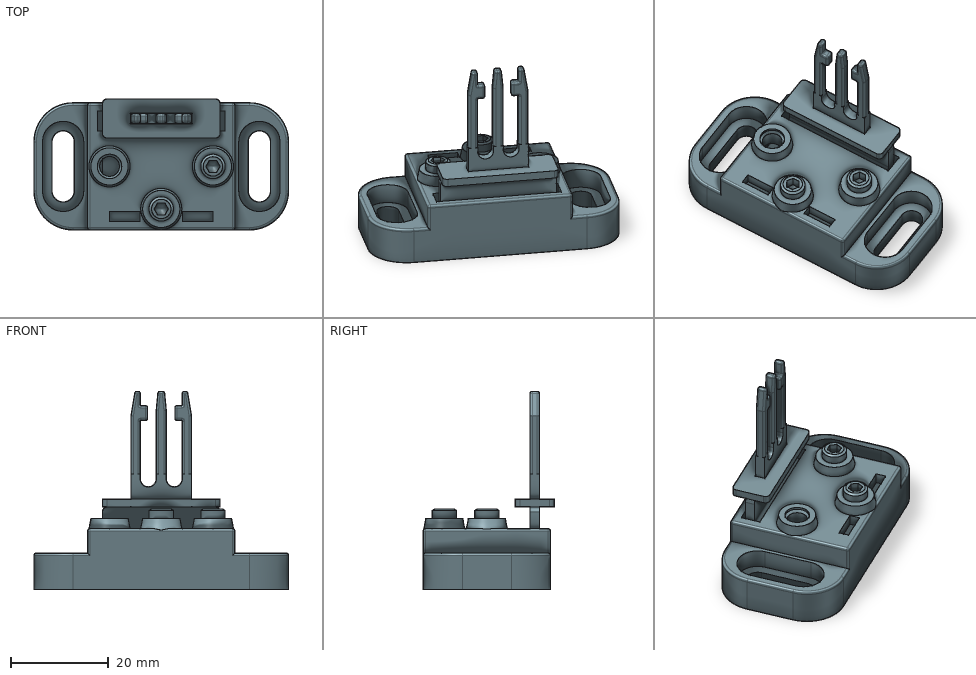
import cadquery as cq
import math

LENGTH = 52.0
WIDTH = 26.0
CORNER_RADIUS = 8.0
FLANGE_HEIGHT = 7.5
BLOCK_LENGTH = 30.05
BLOCK_HEIGHT = 12.5
HOUSING_EDGE_RADIUS = 0.5

MOUNT_X = 20.0
MOUNT_TRAVEL = 10.0
MOUNT_WIDTH = 4.5
MOUNT_BORE_WIDTH = 8.4
MOUNT_BORE_DEPTH = 4.0

KEY_THICKNESS = 2.0
KEY_Y = 9.8
KEY_FRONT = KEY_Y - KEY_THICKNESS / 2
KEY_BACK = KEY_Y + KEY_THICKNESS / 2
KEY_TOP = 40.5
FOOT_WIDTH = 24.0
FOOT_TOP = 10.25
FOOT_BOTTOM = FOOT_TOP - KEY_THICKNESS
BEND_RADIUS = 1.0
SHOULDER_Z = 16.9
SHOULDER_RADIUS = 1.0

BLADE_HALF_WIDTH = 6.2
PRONG_INNER_X = 4.25
OUTER_TIP_X = 5.35
OUTER_TAPER_Z = 35.5
CENTRE_HALF_WIDTH = 1.05
CENTRE_TIP_HALF_WIDTH = 0.7
CENTRE_TAPER_Z = 36.65
HOOK_TIP_X = 2.75
HOOK_BOTTOM = 34.55
HOOK_TOP = 37.6
GAP_BOTTOM = 21.0
PRONG_ROUNDING_Z = 23.65
PRONG_EDGE_RADIUS = 0.495
HOOK_CORNER_RADIUS = 0.15

PLATE_WIDTH = 8.0
PLATE_THICKNESS = 1.6
PLATE_CORNER_RADIUS = 1.0
PLATE_CLEARANCE = 0.1

POCKET_LENGTH = 25.95
POCKET_FRONT = 7.25
POCKET_BACK = 11.3
CAVITY_FRONT = -11.25
OPENING_INNER_X = 4.35
OPENING_OUTER_X = 10.55
OPENING_WIDTH = 2.1

BOSS_X = 10.55
BOSS_Y = 0.0
FRONT_BOSS_Y = -8.7
BOSS_TOP = 14.55
BOSS_TOP_RADIUS = 3.8
BOSS_TAPER_ANGLE = 11.0
EMPTY_BOSS = (-BOSS_X, BOSS_Y)
SCREW_BOSSES = [(BOSS_X, BOSS_Y), (0, FRONT_BOSS_Y)]

SCREW_RADIUS = 2.5
SCREW_CORE_RADIUS = 2.05
SCREW_STEP_HEIGHT = 0.5
SCREW_TIP_INSET = 0.5
SCREW_TIP_HEIGHT = 0.3
SCREW_TOP = 16.5
SCREW_ENTRY_DEPTH = 0.45
SOCKET_FLATS = 2.5
SOCKET_CORNERS = SOCKET_FLATS / math.cos(math.pi / 6)
SOCKET_DEPTH = 2.1
SOCKET_POINT_HEIGHT = 0.75


def box(x_min, x_max, y_min, y_max, z_min, z_max):
    size = (x_max - x_min, y_max - y_min, z_max - z_min)
    return cq.Workplane("XY").box(*size, centered=False).translate((x_min, y_min, z_min))


def revolved(points):
    """Turn an outline of (radius, height) points around the Z axis."""
    return cq.Workplane("XZ").polyline(points).close().revolve(360, (0, 0, 0), (0, 1, 0))


def housing_shell():
    flange = cq.Workplane("XY").rect(LENGTH, WIDTH).extrude(FLANGE_HEIGHT)
    flange = flange.edges("|Z").fillet(CORNER_RADIUS)
    block = cq.Workplane("XY").rect(BLOCK_LENGTH, WIDTH).extrude(BLOCK_HEIGHT)
    shell = flange.union(block).clean()

    reach = HOUSING_EDGE_RADIUS
    inner_corners = cq.selectors.BoxSelector(
        (-BLOCK_LENGTH / 2 - reach, -reach, FLANGE_HEIGHT - reach),
        (BLOCK_LENGTH / 2 + reach, reach, FLANGE_HEIGHT + reach),
    )
    upper_edges = cq.selectors.BoxSelector(
        (-LENGTH, -WIDTH, FLANGE_HEIGHT - reach), (LENGTH, WIDTH, BLOCK_HEIGHT + reach)
    )
    return shell.edges(upper_edges - inner_corners).fillet(HOUSING_EDGE_RADIUS)


def mounting_hole(x):
    def slot(width, bottom):
        plane = cq.Workplane("XY", origin=(x, 0, bottom))
        return plane.slot2D(MOUNT_TRAVEL + width, width, 90).extrude(FLANGE_HEIGHT)

    return slot(MOUNT_WIDTH, 0).union(slot(MOUNT_BORE_WIDTH, FLANGE_HEIGHT - MOUNT_BORE_DEPTH))


def boss():
    bottom = BLOCK_HEIGHT - HOUSING_EDGE_RADIUS
    spread = (BOSS_TOP - bottom) * math.tan(math.radians(BOSS_TAPER_ANGLE))
    return revolved([
        (0, bottom),
        (BOSS_TOP_RADIUS + spread, bottom),
        (BOSS_TOP_RADIUS, BOSS_TOP),
        (0, BOSS_TOP),
    ])


def screw_shank(top):
    """Stepped shank from the foot of the key up to the given height; it also forms the boss hole."""
    step_top = BOSS_TOP - SCREW_ENTRY_DEPTH
    return revolved([
        (0, FOOT_TOP),
        (SCREW_CORE_RADIUS, FOOT_TOP),
        (SCREW_CORE_RADIUS, step_top - SCREW_STEP_HEIGHT),
        (SCREW_RADIUS, step_top),
        (SCREW_RADIUS, top),
        (0, top),
    ])


def make_housing():
    housing = housing_shell()
    for side in (-1, 1):
        housing = housing.cut(mounting_hole(side * MOUNT_X))

    for x, y in [EMPTY_BOSS, *SCREW_BOSSES]:
        housing = housing.union(boss().translate((x, y, 0)))
        housing = housing.cut(screw_shank(BOSS_TOP).translate((x, y, 0)))

    half_pocket = POCKET_LENGTH / 2
    pocket = box(-half_pocket, half_pocket, POCKET_FRONT, POCKET_BACK, FOOT_BOTTOM, BLOCK_HEIGHT)
    cavity = box(-half_pocket, half_pocket, CAVITY_FRONT, POCKET_BACK, FOOT_BOTTOM, FOOT_TOP)
    housing = housing.cut(pocket).cut(cavity)

    opening_back = CAVITY_FRONT + OPENING_WIDTH
    opening = box(OPENING_INNER_X, OPENING_OUTER_X, CAVITY_FRONT, opening_back, FOOT_TOP, BLOCK_HEIGHT)
    return housing.cut(opening).cut(opening.mirror("YZ"))


def bent_foot():
    foot = box(-FOOT_WIDTH / 2, FOOT_WIDTH / 2, CAVITY_FRONT, KEY_BACK, FOOT_BOTTOM, FOOT_TOP)
    upright = box(-FOOT_WIDTH / 2, FOOT_WIDTH / 2, KEY_FRONT, KEY_BACK, FOOT_BOTTOM, SHOULDER_Z)
    upright = upright.edges("|Y and >Z").fillet(SHOULDER_RADIUS)
    bent = foot.union(upright).clean()
    inside_bend = cq.selectors.NearestToPointSelector((0, KEY_FRONT, FOOT_TOP))
    bent = bent.edges(inside_bend).fillet(BEND_RADIUS)
    return bent.edges("|X and >Y and <Z").fillet(BEND_RADIUS + KEY_THICKNESS)


def key_sheet(points):
    """Cut an (x, z) outline from the upright sheet of the key."""
    return cq.Workplane("XZ", origin=(0, KEY_BACK, 0)).polyline(points).close().extrude(KEY_THICKNESS)


def hook_inner_corners():
    """Select the edges across the blade in the inner corners above and below the hook."""
    reach = 2 * HOOK_CORNER_RADIUS
    beside_hook = cq.selectors.BoxSelector(
        (PRONG_INNER_X - reach, KEY_FRONT, HOOK_BOTTOM - reach),
        (PRONG_INNER_X + reach, KEY_BACK, HOOK_TOP + reach),
    )
    return cq.selectors.ParallelDirSelector(cq.Vector(0, 1, 0)) & beside_hook


def rounded_prong(prong):
    """Round every edge of a prong except its lowest ones and those around the hook's inner corners."""
    upper_edges = cq.StringSyntaxSelector("not <Z")
    return prong.faces("not <Z").edges(upper_edges - hook_inner_corners()).fillet(PRONG_EDGE_RADIUS)


def outer_prong():
    prong = key_sheet([
        (BLADE_HALF_WIDTH, PRONG_ROUNDING_Z),
        (BLADE_HALF_WIDTH, OUTER_TAPER_Z),
        (OUTER_TIP_X, KEY_TOP),
        (PRONG_INNER_X, KEY_TOP),
        (PRONG_INNER_X, HOOK_TOP),
        (HOOK_TIP_X, HOOK_TOP),
        (HOOK_TIP_X, HOOK_BOTTOM),
        (PRONG_INNER_X, HOOK_BOTTOM),
        (PRONG_INNER_X, PRONG_ROUNDING_Z),
    ])
    return rounded_prong(prong.edges(hook_inner_corners()).fillet(HOOK_CORNER_RADIUS))


def centre_prong():
    prong = key_sheet([
        (-CENTRE_HALF_WIDTH, PRONG_ROUNDING_Z),
        (-CENTRE_HALF_WIDTH, CENTRE_TAPER_Z),
        (-CENTRE_TIP_HALF_WIDTH, KEY_TOP),
        (CENTRE_TIP_HALF_WIDTH, KEY_TOP),
        (CENTRE_HALF_WIDTH, CENTRE_TAPER_Z),
        (CENTRE_HALF_WIDTH, PRONG_ROUNDING_Z),
    ])
    return rounded_prong(prong)


def prong_root():
    """Square-edged lower blade with the two round-bottomed gaps between the prongs."""
    root = box(
        -BLADE_HALF_WIDTH, BLADE_HALF_WIDTH, KEY_FRONT, KEY_BACK, SHOULDER_Z, PRONG_ROUNDING_Z
    )
    gap_width = PRONG_INNER_X - CENTRE_HALF_WIDTH
    gap_radius = gap_width / 2
    gap_x = CENTRE_HALF_WIDTH + gap_radius
    round_z = GAP_BOTTOM + gap_radius
    gap = box(CENTRE_HALF_WIDTH, PRONG_INNER_X, KEY_FRONT, KEY_BACK, round_z, PRONG_ROUNDING_Z)
    round_end = cq.Workplane("XZ", origin=(gap_x, KEY_BACK, round_z)).circle(gap_radius)
    gap = gap.union(round_end.extrude(KEY_THICKNESS))
    return root.cut(gap).cut(gap.mirror("YZ"))


def make_key():
    prong = outer_prong()
    key = bent_foot().union(prong_root())
    return key.union(centre_prong()).union(prong).union(prong.mirror("YZ"))


def make_plate():
    plate = cq.Workplane("XY", origin=(0, KEY_Y, SHOULDER_Z)).rect(FOOT_WIDTH, PLATE_WIDTH)
    plate = plate.extrude(PLATE_THICKNESS).edges("|Z").fillet(PLATE_CORNER_RADIUS)
    slot_length = 2 * (BLADE_HALF_WIDTH + PLATE_CLEARANCE)
    slot_width = KEY_THICKNESS + 2 * PLATE_CLEARANCE
    return plate.faces(">Z").workplane(origin=(0, KEY_Y, 0)).rect(slot_length, slot_width).cutThruAll()


def make_screw(x, y):
    screw = screw_shank(SCREW_TOP).faces(">Z").chamfer(SCREW_TIP_HEIGHT, SCREW_TIP_INSET)

    socket_floor = SCREW_TOP - SOCKET_DEPTH
    point_z = socket_floor - SOCKET_POINT_HEIGHT
    hexagon = cq.Workplane("XY", origin=(0, 0, point_z)).polygon(6, SOCKET_CORNERS)
    hexagon = hexagon.extrude(SCREW_TOP - point_z)
    drill = revolved([
        (0, point_z),
        (SOCKET_CORNERS / 2, socket_floor),
        (SOCKET_CORNERS / 2, SCREW_TOP),
        (0, SCREW_TOP),
    ])
    return screw.cut(hexagon.intersect(drill)).translate((x, y, 0))


housing = make_housing()
key = make_key()
plate = make_plate()
screws = [make_screw(x, y).val() for x, y in SCREW_BOSSES]

result = cq.Compound.makeCompound([housing.val(), key.val(), plate.val(), *screws])